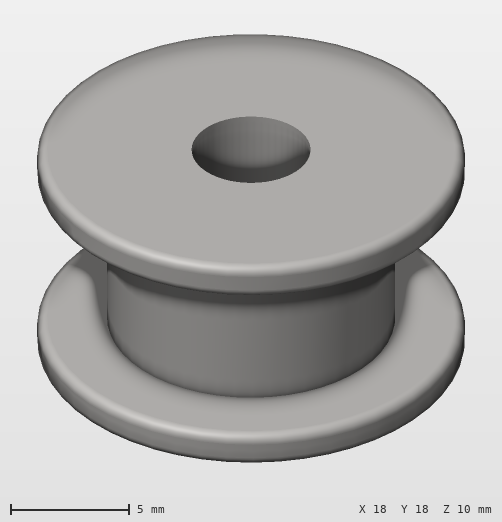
import cadquery as cq

flange_diameter = 18.0
hub_diameter = 12.13
bore_diameter = 5.0
total_height = 10.0
flange_thickness = 1.51
rim_fillet = 0.41


def flange(base_height):
    """Disc with both rim edges rounded, standing on base_height."""
    disc = cq.Workplane("XY").workplane(offset=base_height)
    disc = disc.circle(flange_diameter / 2).extrude(flange_thickness)
    return disc.edges("%CIRCLE").fillet(rim_fillet)


spool = cq.Workplane("XY").circle(hub_diameter / 2).extrude(total_height)
for base_height in (0, total_height - flange_thickness):
    spool = spool.union(flange(base_height))

bore = cq.Workplane("XY").circle(bore_diameter / 2).extrude(total_height)
result = spool.cut(bore)